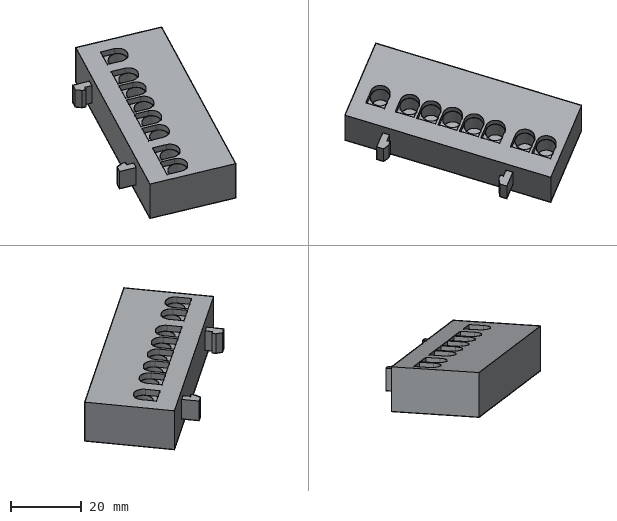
import cadquery as cq

block_length = 62
block_depth = 25.85
block_height = 13

pocket_groups = (1, 5, 2)
first_pocket_x = 7.0
pocket_pitch = 6.45
group_gap = 8.85
pocket_width = 5.65
pocket_front_y = 5.95
pocket_depth = 2.0

bore_diameter = 5.5
bore_y = 10.15
bore_depth = 7.45

left_hook_x = 11.4
right_hook_x = block_length - left_hook_x
hook_height = 6.6
hook_reach = 5.0
stem_thickness = 2.05
tip_thickness = 2.1
catch_overhang = 1.0
catch_start = 2.1
catch_end = 3.3


def pocket_positions():
    """X of each pocket centre, from left to right."""
    positions = []
    group_start = first_pocket_x
    for count in pocket_groups:
        positions += [group_start + i * pocket_pitch for i in range(count)]
        group_start = positions[-1] + group_gap
    return positions


def terminal_pocket(x):
    """Cutter for one pocket: square at the front, round at the back, with a bore below."""
    half_width = pocket_width / 2
    opening = (
        cq.Workplane("XY", origin=(x, 0, block_height))
        .moveTo(-half_width, pocket_front_y)
        .lineTo(half_width, pocket_front_y)
        .lineTo(half_width, bore_y)
        .threePointArc((0, bore_y + half_width), (-half_width, bore_y))
        .close()
        .extrude(-pocket_depth)
    )
    bore = (
        cq.Workplane("XY", origin=(x, bore_y, block_height))
        .circle(bore_diameter / 2)
        .extrude(-bore_depth)
    )
    return opening.union(bore)


def snap_hook(outer_x, inward):
    """Hook at outer_x whose catch points along X by the sign of inward."""
    profile = [
        (0, 0),
        (stem_thickness, 0),
        (stem_thickness, -catch_start),
        (stem_thickness + catch_overhang, -catch_start),
        (stem_thickness + catch_overhang, -catch_end),
        (tip_thickness, -hook_reach),
        (0, -hook_reach),
    ]
    bottom_z = (block_height - hook_height) / 2
    return (
        cq.Workplane("XY", origin=(0, 0, bottom_z))
        .polyline([(outer_x + inward * offset, y) for offset, y in profile])
        .close()
        .extrude(hook_height)
    )


result = cq.Workplane("XY").box(block_length, block_depth, block_height, centered=False)
for pocket_x in pocket_positions():
    result = result.cut(terminal_pocket(pocket_x))
result = result.union(snap_hook(left_hook_x, 1))
result = result.union(snap_hook(right_hook_x, -1))